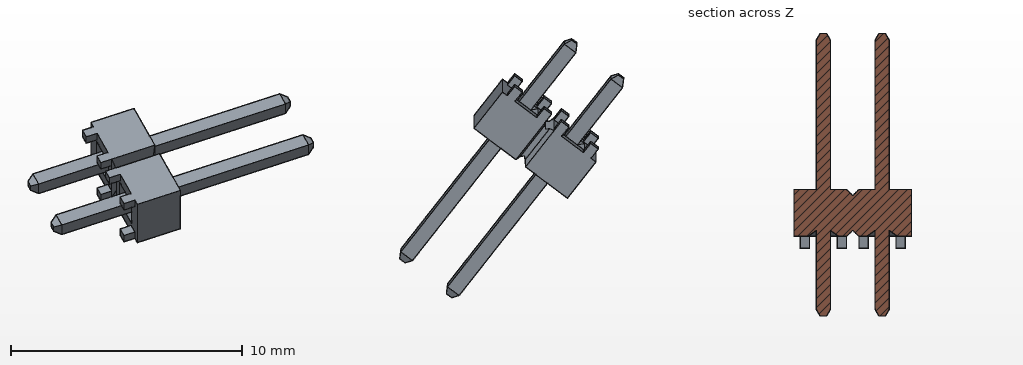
import cadquery as cq

PITCH = 2.54
ROW_LENGTH = 5.08
BODY_HEIGHT = 2.54
BODY_DEPTH = 2.02
BODY_FRONT = -2.66
BODY_BACK = BODY_FRONT + BODY_DEPTH
GAP = 0.52
BODY_WIDTH = (ROW_LENGTH - GAP) / 2

WEB_WIDTH = 0.25
WEB_HEIGHT = 1.51
NOTCH_DEPTH = GAP / 2

PIN_LENGTH = 12.19
PIN_SIZE = 0.63
TIP_SIZE = 0.29
TIP_LENGTH = 0.3

FUNNEL_MOUTH = 1.32
FUNNEL_DEPTH = 0.24

FOOT_WIDTH = 0.41
FOOT_HEIGHT = 0.43
FOOT_LENGTH = 0.51
FOOT_OFFSET = PITCH / 2 - GAP / 2 - FOOT_WIDTH / 2

SIDES = (-1, 1)
pin_positions = [side * PITCH / 2 for side in SIDES]


def box_along_y(width, height, y_start, y_end, x=0, z=0):
    """Box centred on (x, z), spanning y_start to y_end."""
    length = y_end - y_start
    return cq.Workplane("XY").box(width, length, height).translate((x, y_start + length / 2, z))


def square_taper(x, y_start, size_start, y_end, size_end):
    """Square frustum about the pin axis at x."""
    return (
        cq.Workplane("XZ", origin=(x, y_start, 0))
        .rect(size_start, size_start)
        .workplane(offset=y_start - y_end)
        .rect(size_end, size_end)
        .loft(ruled=True)
    )


def make_body(side):
    x_center = side * (ROW_LENGTH - BODY_WIDTH) / 2
    return box_along_y(BODY_WIDTH, BODY_HEIGHT, BODY_FRONT, BODY_BACK, x=x_center)


def make_web():
    """Web with sloped grooves above and below, and V notches at front and back."""
    groove_half = GAP / 2
    web_half = WEB_WIDTH / 2
    section = (
        cq.Workplane("XZ", origin=(0, BODY_BACK, 0))
        .moveTo(-groove_half, -BODY_HEIGHT / 2)
        .lineTo(-web_half, -WEB_HEIGHT / 2)
        .lineTo(web_half, -WEB_HEIGHT / 2)
        .lineTo(groove_half, -BODY_HEIGHT / 2)
        .lineTo(groove_half, BODY_HEIGHT / 2)
        .lineTo(web_half, WEB_HEIGHT / 2)
        .lineTo(-web_half, WEB_HEIGHT / 2)
        .lineTo(-groove_half, BODY_HEIGHT / 2)
        .close()
        .extrude(BODY_DEPTH)
    )
    plan = (
        cq.Workplane("XY", origin=(0, 0, -BODY_HEIGHT / 2))
        .moveTo(-groove_half, BODY_FRONT)
        .lineTo(0, BODY_FRONT + NOTCH_DEPTH)
        .lineTo(groove_half, BODY_FRONT)
        .lineTo(groove_half, BODY_BACK)
        .lineTo(0, BODY_BACK - NOTCH_DEPTH)
        .lineTo(-groove_half, BODY_BACK)
        .close()
        .extrude(BODY_HEIGHT)
    )
    return section.intersect(plan)


def make_funnel(x):
    return square_taper(x, BODY_FRONT, FUNNEL_MOUTH, BODY_FRONT + FUNNEL_DEPTH, PIN_SIZE)


def make_pin(x):
    shank_half = PIN_LENGTH / 2 - TIP_LENGTH
    pin = box_along_y(PIN_SIZE, PIN_SIZE, -shank_half, shank_half, x=x)
    for end in SIDES:
        pin = pin.union(square_taper(x, end * shank_half, PIN_SIZE, end * PIN_LENGTH / 2, TIP_SIZE))
    return pin


def make_foot(x, z_side):
    z_center = z_side * (BODY_HEIGHT - FOOT_HEIGHT) / 2
    return box_along_y(FOOT_WIDTH, FOOT_HEIGHT, BODY_FRONT - FOOT_LENGTH, BODY_FRONT, x=x, z=z_center)


result = make_web()
for side in SIDES:
    result = result.union(make_body(side))

for pin_x in pin_positions:
    result = result.cut(make_funnel(pin_x)).union(make_pin(pin_x))
    for x_side in SIDES:
        for z_side in SIDES:
            result = result.union(make_foot(pin_x + x_side * FOOT_OFFSET, z_side))